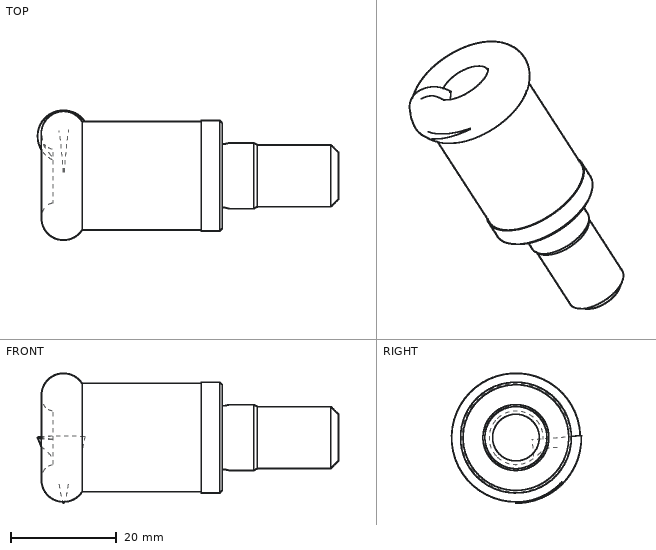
import cadquery as cq
import math


STUD_LENGTH = 22.0
STUD_RADIUS = 11.75 / 2
STUD_END_CHAMFER = 1.45
LAND_RADIUS = 12.5 / 2
LAND_START = 0.5
LAND_END = 6.65
LAND_LEAD_IN = 0.8
LAND_LEAD_OUT = 0.7
NECK_RADIUS = 6.05

COLLAR_RADIUS = 21.0 / 2
COLLAR_LENGTH = 4.0
COLLAR_CHAMFER = 0.5
BARREL_RADIUS = 20.6 / 2

RING_CENTER_X = -30.06
RING_MAJOR_RADIUS = 8.0
RING_MINOR_RADIUS = 4.2

DIMPLE_FLOOR_RADIUS = 5.1
DIMPLE_MOUTH_RADIUS = 6.6
DIMPLE_FLOOR_OFFSET = 2.07

LIP_MAJOR_RADIUS = 7.5
LIP_HALF_WIDTH = 4.93
LIP_TIP_HALF_DEPTH = 0.15
LIP_SWEEP = 90.0
LIP_SECTIONS = 5
LIP_END_TILT = 4.5


def ring_half_width(radius):
    """Distance from the ring's mid plane to its surface at a given radius from the X axis."""
    return math.sqrt(RING_MINOR_RADIUS**2 - (radius - RING_MAJOR_RADIUS) ** 2)


def make_turned_body():
    """Stud, land, neck, collar, barrel and dimpled ring as one revolved half profile."""
    floor_x = RING_CENTER_X - DIMPLE_FLOOR_OFFSET
    mouth_x = RING_CENTER_X - ring_half_width(DIMPLE_MOUTH_RADIUS)
    barrel_start_x = RING_CENTER_X + ring_half_width(BARREL_RADIUS)
    ring_crest = (RING_CENTER_X, RING_MAJOR_RADIUS + RING_MINOR_RADIUS)
    profile = (
        cq.Workplane("XY")
        .moveTo(barrel_start_x, BARREL_RADIUS)
        .threePointArc(ring_crest, (mouth_x, DIMPLE_MOUTH_RADIUS))
        .tangentArcPoint((floor_x, DIMPLE_FLOOR_RADIUS), relative=False)
        .lineTo(floor_x, 0)
        .lineTo(STUD_LENGTH, 0)
        .lineTo(STUD_LENGTH, STUD_RADIUS - STUD_END_CHAMFER)
        .lineTo(STUD_LENGTH - STUD_END_CHAMFER, STUD_RADIUS)
        .lineTo(LAND_END, STUD_RADIUS)
        .lineTo(LAND_END - LAND_LEAD_OUT, LAND_RADIUS)
        .lineTo(LAND_START + LAND_LEAD_IN, LAND_RADIUS)
        .lineTo(LAND_START, NECK_RADIUS)
        .lineTo(0, NECK_RADIUS)
        .lineTo(0, COLLAR_RADIUS - COLLAR_CHAMFER)
        .lineTo(-COLLAR_CHAMFER, COLLAR_RADIUS)
        .lineTo(-COLLAR_LENGTH, COLLAR_RADIUS)
        .lineTo(-COLLAR_LENGTH, BARREL_RADIUS)
        .close()
    )
    return profile.revolve(360, (0, 0, 0), (1, 0, 0))


def lip_section(fraction):
    """Elliptical wire across the lip; fraction runs from 0 at its blunt end to 1 at its tip."""
    angle = math.radians(LIP_SWEEP * fraction)
    half_depth = LIP_HALF_WIDTH + (LIP_TIP_HALF_DEPTH - LIP_HALF_WIDTH) * fraction
    tilt = math.radians(LIP_END_TILT) if fraction == 0 else 0
    center = cq.Vector(RING_CENTER_X, LIP_MAJOR_RADIUS * math.cos(angle), -LIP_MAJOR_RADIUS * math.sin(angle))
    outward = cq.Vector(0, math.cos(angle - tilt), -math.sin(angle - tilt))
    normal = cq.Vector(1, 0, 0).cross(outward)
    plane = cq.Plane(origin=center, xDir=outward, normal=normal)
    return cq.Workplane(plane).ellipse(LIP_HALF_WIDTH, half_depth).wires().val()


def make_lip():
    """Lip lofted through elliptical sections that thin out along the ring."""
    sections = [lip_section(i / (LIP_SECTIONS - 1)) for i in range(LIP_SECTIONS)]
    return cq.Workplane(cq.Solid.makeLoft(sections))


result = make_turned_body().union(make_lip())